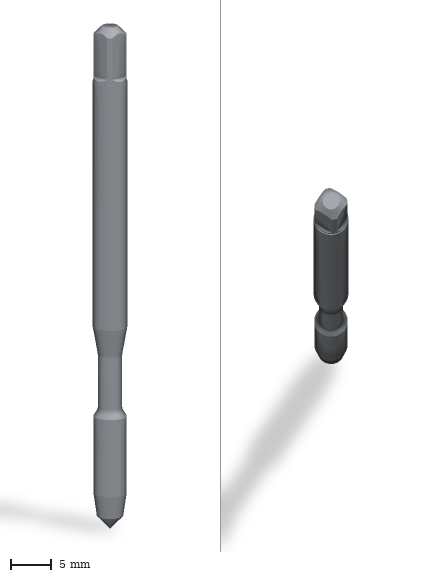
import cadquery as cq

overall_length = 64.34
shank_diameter = 4.27
drive_diameter = 4.1
neck_diameter = 3.0
thread_diameter = 4.1
point_diameter = 3.26

square_across_flats = 3.33
square_length = 6.35
drive_length = 7.0
top_face_diameter = 2.05

shank_end_depth = 38.45
neck_start_depth = 42.0
neck_end_depth = 49.0
collar_start_depth = 49.87
thread_start_depth = 50.0
neck_fillet_radius = 0.75

point_length = 1.7
lead_taper_length = 2.9

shank_radius = shank_diameter / 2
drive_radius = drive_diameter / 2
neck_radius = neck_diameter / 2
thread_radius = thread_diameter / 2
point_radius = point_diameter / 2
top_face_radius = top_face_diameter / 2
top_chamfer = drive_radius - top_face_radius
flat_distance = square_across_flats / 2

top_z = overall_length
shoulder_z = top_z - drive_length
square_end_z = top_z - square_length
shank_end_z = top_z - shank_end_depth
neck_start_z = top_z - neck_start_depth
neck_end_z = top_z - neck_end_depth
collar_start_z = top_z - collar_start_depth
thread_start_z = top_z - thread_start_depth
lead_start_z = point_length + lead_taper_length


def revolve_profile(points):
    """Turn a closed outline of (radius, z) points about the Z axis."""
    return cq.Workplane("XZ").polyline(points).close().revolve(360, (0, 0), (0, 1))


def fillet_ring(body, ring_z):
    """Round the circular corner of the neck that lies at height ring_z."""
    half_band = neck_fillet_radius / 10
    band = cq.selectors.BoxSelector(
        (-shank_radius, -shank_radius, ring_z - half_band),
        (shank_radius, shank_radius, ring_z + half_band),
    )
    return body.edges(band).fillet(neck_fillet_radius)


def flat_cutter():
    """Block that mills the +X flat and runs out at 45 degrees onto the shoulder."""
    outer = shank_diameter
    runout_x = flat_distance + square_end_z - shoulder_z
    return (
        cq.Workplane("XZ")
        .polyline([
            (flat_distance, top_z),
            (flat_distance, square_end_z),
            (runout_x, shoulder_z),
            (outer, shoulder_z),
            (outer, top_z),
        ])
        .close()
        .extrude(shank_radius, both=True)
    )


def build_shank():
    """Square drive, shank, neck and collar, down to the joint with the thread."""
    body = revolve_profile([
        (0, top_z),
        (top_face_radius, top_z),
        (drive_radius, top_z - top_chamfer),
        (drive_radius, shoulder_z),
        (shank_radius, shoulder_z),
        (shank_radius, shank_end_z),
        (neck_radius, neck_start_z),
        (neck_radius, neck_end_z),
        (thread_radius, collar_start_z),
        (thread_radius, thread_start_z),
        (0, thread_start_z),
    ])
    for ring_z in (neck_start_z, neck_end_z):
        body = fillet_ring(body, ring_z)
    cutter = flat_cutter()
    for quarter in range(4):
        body = body.cut(cutter.rotate((0, 0, 0), (0, 0, 1), 90 * quarter))
    return body


def build_thread():
    """Thread body with its tapered lead and point."""
    return revolve_profile([
        (0, thread_start_z),
        (thread_radius, thread_start_z),
        (thread_radius, lead_start_z),
        (point_radius, point_length),
        (0, 0),
    ])


shank = build_shank()
thread = build_thread()
result = cq.Compound.makeCompound([shank.val(), thread.val()])